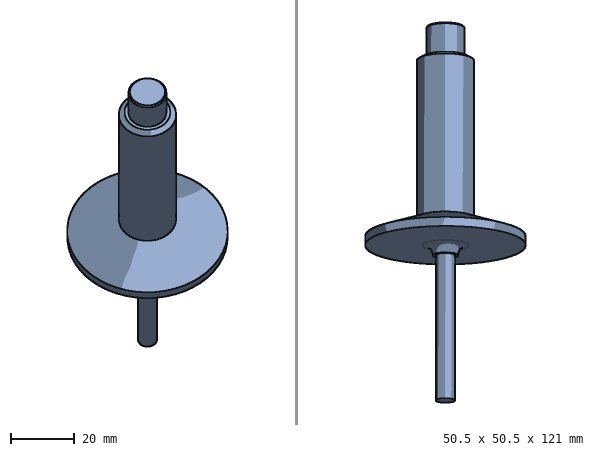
import cadquery as cq
import math

total_height = 121.0
flange_diameter = 50.5
body_diameter = 18.0
tip_diameter = 12.0
rod_diameter = 6.0
collar_diameter = 8.0

rod_length = 47.0
collar_height = 3.3
rim_height = 2.9
cone_height = 5.8
tip_length = 9.9

body_chamfer_width = 1.8
body_chamfer_height = 1.1
tip_chamfer = 0.5

flange_radius = flange_diameter / 2
body_radius = body_diameter / 2
tip_radius = tip_diameter / 2
rod_radius = rod_diameter / 2
collar_radius = collar_diameter / 2

flange_bottom = rod_length + collar_height
rim_top = flange_bottom + rim_height
body_bottom = rim_top + cone_height
body_top = total_height - tip_length

flare_radius = collar_height
flare_middle_inset = flare_radius * (1 - math.cos(math.pi / 4))
flare_middle = (collar_radius + flare_middle_inset, flange_bottom - flare_middle_inset)
flare_end = (collar_radius + flare_radius, flange_bottom)

profile = (
    cq.Workplane("XZ")
    .moveTo(0, 0)
    .lineTo(rod_radius, 0)
    .lineTo(rod_radius, rod_length)
    .lineTo(collar_radius, rod_length)
    .threePointArc(flare_middle, flare_end)
    .lineTo(flange_radius, flange_bottom)
    .lineTo(flange_radius, rim_top)
    .lineTo(body_radius, body_bottom)
    .lineTo(body_radius, body_top - body_chamfer_height)
    .lineTo(body_radius - body_chamfer_width, body_top)
    .lineTo(tip_radius, body_top)
    .lineTo(tip_radius, total_height - tip_chamfer)
    .lineTo(tip_radius - tip_chamfer, total_height)
    .lineTo(0, total_height)
    .close()
)

result = profile.revolve(360, (0, 0, 0), (0, 1, 0))